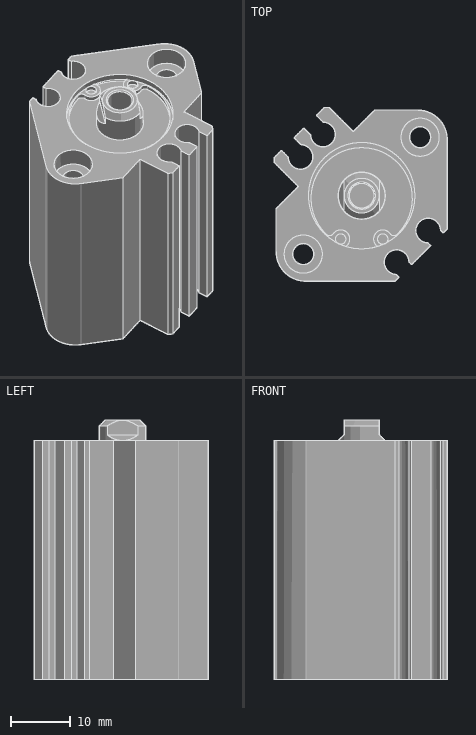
import cadquery as cq

TOTAL_HEIGHT = 44.0

SIDE = 29.05
HOUSING_HEIGHT = 40.52
CORNER_RADIUS = 5.05
CHAMFER_DISTANCE = 14.25

DIAGONAL_ANGLE = 135.0

SHOULDER_DISTANCE = 8.7
FLANGE_DISTANCE = 15.05
FLANGE_WIDTH = 13.2
FLANGE_SHIFT = 0.1
FLANGE_TIP_CHAMFER = 0.55

SLOT_DIAMETER = 4.15
SLOT_NECK = 3.0
FLANGE_SLOT_DISTANCE = 11.95
CHAMFER_SLOT_DISTANCE = 12.15
FLANGE_SLOT_SPACING = 5.35
CHAMFER_SLOT_SPACING = 7.55

MOUNT_OFFSET = 9.9
MOUNT_HOLE_DIAMETER = 3.5
MOUNT_BORE_DIAMETER = 6.45
MOUNT_BORE_DEPTH = 3.5

RECESS_RADIUS = 9.0
RECESS_DEPTH = 2.2
GROOVE_RADIUS = 9.5

RING_THICKNESS = 0.92
RING_INNER_RADIUS = 8.6
RING_INNER_SHIFT = RECESS_RADIUS - RING_INNER_RADIUS
EYELET_X = 3.55
EYELET_Y = -7.35
EYELET_RADIUS = 1.55
EYELET_HOLE_RADIUS = 0.9
EYELET_FILLET = 0.8

ROD_DIAMETER = 7.9
ROD_BORE_DIAMETER = 8.0
ROD_LENGTH = 26.4
ROD_CHAMFER = 1.0
FLATS_WIDTH = 6.0
FLATS_HEIGHT = 2.5
ROD_HOLE_DIAMETER = 4.2
ROD_HOLE_MOUTH = 4.6
ROD_HOLE_MOUTH_ANGLE = 90.0
ROD_HOLE_DEPTH = 8.8

RECESS_FLOOR = HOUSING_HEIGHT - RECESS_DEPTH
ROD_BOTTOM = TOTAL_HEIGHT - ROD_LENGTH


def diagonal_box(near, far, width, side_shift=0.0):
    """Full-height block along the (-X, +Y) diagonal, between two distances from the axis."""
    block = cq.Workplane("XY").box(far - near, width, HOUSING_HEIGHT, centered=(False, True, False))
    block = block.translate((near, -side_shift, 0))
    return block.rotate((0, 0, 0), (0, 0, 1), DIAGONAL_ANGLE)


def opposite(body):
    """Turn a body half a turn about the axis, onto the (+X, -Y) diagonal."""
    return body.rotate((0, 0, 0), (0, 0, 1), 180)


def sensor_slot(distance, side_shift):
    """Cutter for one slot on the (-X, +Y) diagonal."""
    channel = (
        cq.Workplane("XY")
        .center(distance, -side_shift)
        .circle(SLOT_DIAMETER / 2)
        .extrude(HOUSING_HEIGHT)
        .rotate((0, 0, 0), (0, 0, 1), DIAGONAL_ANGLE)
    )
    return channel.union(diagonal_box(distance, SIDE, SLOT_NECK, side_shift))


def make_housing():
    block = cq.Workplane("XY").rect(SIDE, SIDE).extrude(HOUSING_HEIGHT)
    block = block.edges("|Z and (<(1, 1, 0) or >(1, 1, 0))").fillet(CORNER_RADIUS)

    block = block.cut(diagonal_box(SHOULDER_DISTANCE, SIDE, SIDE))
    block = block.cut(opposite(diagonal_box(CHAMFER_DISTANCE, SIDE, SIDE)))
    flange = diagonal_box(0, FLANGE_DISTANCE, FLANGE_WIDTH, FLANGE_SHIFT)
    flange = flange.faces(">(-1, 1, 0)").edges("|Z").chamfer(FLANGE_TIP_CHAMFER)
    block = block.union(flange)

    for side in (-1, 1):
        block = block.cut(sensor_slot(FLANGE_SLOT_DISTANCE, side * FLANGE_SLOT_SPACING / 2))
        block = block.cut(opposite(sensor_slot(CHAMFER_SLOT_DISTANCE, side * CHAMFER_SLOT_SPACING / 2)))

    block = (
        block.faces(">Z")
        .workplane(origin=(0, 0, HOUSING_HEIGHT))
        .pushPoints([(MOUNT_OFFSET, MOUNT_OFFSET), (-MOUNT_OFFSET, -MOUNT_OFFSET)])
        .cboreHole(MOUNT_HOLE_DIAMETER, MOUNT_BORE_DIAMETER, MOUNT_BORE_DEPTH)
    )

    recess = cq.Workplane("XY", origin=(0, 0, RECESS_FLOOR)).circle(RECESS_RADIUS).extrude(RECESS_DEPTH)
    groove = cq.Workplane("XY", origin=(0, 0, RECESS_FLOOR)).circle(GROOVE_RADIUS).extrude(RING_THICKNESS)
    rod_bore = (
        cq.Workplane("XY", origin=(0, 0, ROD_BOTTOM))
        .circle(ROD_BORE_DIAMETER / 2)
        .extrude(RECESS_FLOOR - ROD_BOTTOM)
    )
    return block.cut(recess).cut(groove).cut(rod_bore)


def make_retaining_ring():
    base = cq.Workplane("XY", origin=(0, 0, RECESS_FLOOR))
    eyelet_centres = [(-EYELET_X, EYELET_Y), (EYELET_X, EYELET_Y)]
    disc = base.circle(GROOVE_RADIUS).extrude(RING_THICKNESS)
    opening = base.center(0, -RING_INNER_SHIFT).circle(RING_INNER_RADIUS).extrude(RING_THICKNESS)
    gap = (
        base.center(0, EYELET_Y - GROOVE_RADIUS / 2)
        .rect(2 * EYELET_X, GROOVE_RADIUS)
        .extrude(RING_THICKNESS)
    )
    eyelets = base.pushPoints(eyelet_centres).circle(EYELET_RADIUS).extrude(RING_THICKNESS)
    ring = disc.cut(opening).cut(gap).union(eyelets.intersect(disc))

    for side in (-1, 1):
        meeting_corner = cq.selectors.NearestToPointSelector(
            (side * (EYELET_X + EYELET_RADIUS), EYELET_Y, RECESS_FLOOR + RING_THICKNESS / 2)
        )
        ring = ring.edges("|Z").edges(meeting_corner).fillet(EYELET_FILLET)

    eyelet_holes = base.pushPoints(eyelet_centres).circle(EYELET_HOLE_RADIUS).extrude(RING_THICKNESS)
    return ring.cut(eyelet_holes)


def make_rod():
    rod = cq.Workplane("XY", origin=(0, 0, ROD_BOTTOM)).circle(ROD_DIAMETER / 2).extrude(ROD_LENGTH)
    rod = rod.faces(">Z").chamfer(ROD_CHAMFER)

    flat = FLATS_WIDTH / 2
    flat_bottom = TOTAL_HEIGHT - FLATS_HEIGHT
    for side in (-1, 1):
        cutter = (
            cq.Workplane("XZ")
            .moveTo(side * flat, TOTAL_HEIGHT)
            .lineTo(side * flat, flat_bottom)
            .lineTo(side * 2 * flat, flat_bottom - flat)
            .lineTo(side * 2 * flat, TOTAL_HEIGHT)
            .close()
            .extrude(ROD_DIAMETER / 2, both=True)
        )
        rod = rod.cut(cutter)

    rod_end = rod.faces(">Z").workplane(origin=(0, 0, TOTAL_HEIGHT))
    return rod_end.cskHole(ROD_HOLE_DIAMETER, ROD_HOLE_MOUTH, ROD_HOLE_MOUTH_ANGLE, ROD_HOLE_DEPTH)


housing = make_housing()
retaining_ring = make_retaining_ring()
rod = make_rod()

result = cq.Compound.makeCompound([housing.val(), retaining_ring.val(), rod.val()])